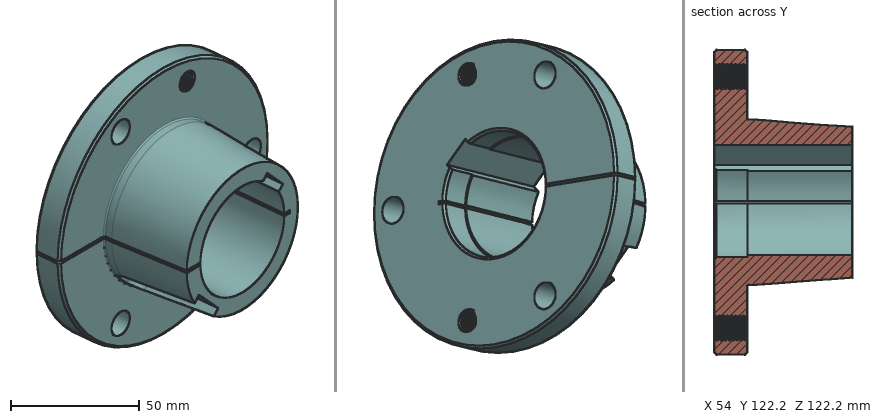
import cadquery as cq
import math

FLANGE_RADIUS = 61.1
FLANGE_THICKNESS = 13.0
FLANGE_CHAMFER = 1.0

LENGTH = 54.0
HUB_RADIUS = 35.0
HUB_END_RADIUS = 32.4
TAPER_START = 16.9
HUB_FILLET = 0.6

BORE_RADIUS = 24.5
COUNTERBORE_RADIUS = 25.0
COUNTERBORE_DEPTH = FLANGE_THICKNESS
BORE_CHAMFER = 1.0

KEYWAY_ANGLE = 45.0
KEYWAY_WIDTH = 12.8
KEYWAY_REACH = 27.0

SLIT_WIDTH = 1.1
RELIEF_REACH = 27.9

KEY_SEAT_ANGLE = 225.0
KEY_SEAT_WIDTH = 15.8
KEY_SEAT_FLOOR = 27.7
KEY_SEAT_START = 13.7
KEY_SEAT_CORNER_RADIUS = 5.4

BOLT_CIRCLE_RADIUS = 50.8
CLEARANCE_HOLE_DIAMETER = 10.6
CLEARANCE_HOLE_ANGLES = (0.0, 120.0, 240.0)
THREADED_HOLE_ANGLES = (75.0, -75.0)
THREAD_MINOR_RADIUS = 3.9
THREAD_MAJOR_RADIUS = 4.8
THREAD_PITCH = 1.6
THREAD_ROOT_WIDTH = 0.2
THREAD_HALF_ANGLE = 30.0
THREAD_RUNOUT_TURNS = 1
THREAD_OVERLAP = 0.1


def make_body():
    """Flange and tapered hub, revolved about the X axis."""
    profile = (
        cq.Workplane("XY")
        .moveTo(0, 0)
        .lineTo(0, FLANGE_RADIUS - FLANGE_CHAMFER)
        .lineTo(FLANGE_CHAMFER, FLANGE_RADIUS)
        .lineTo(FLANGE_THICKNESS - FLANGE_CHAMFER, FLANGE_RADIUS)
        .lineTo(FLANGE_THICKNESS, FLANGE_RADIUS - FLANGE_CHAMFER)
        .lineTo(FLANGE_THICKNESS, HUB_RADIUS + HUB_FILLET)
        .radiusArc((FLANGE_THICKNESS + HUB_FILLET, HUB_RADIUS), -HUB_FILLET)
        .lineTo(TAPER_START, HUB_RADIUS)
        .lineTo(LENGTH, HUB_END_RADIUS)
        .lineTo(LENGTH, 0)
        .close()
    )
    return profile.revolve(360, (0, 0, 0), (1, 0, 0))


def make_bore():
    """Stepped bore with a chamfered mouth in the flange face."""
    profile = (
        cq.Workplane("XY")
        .moveTo(0, 0)
        .lineTo(0, COUNTERBORE_RADIUS + BORE_CHAMFER)
        .lineTo(BORE_CHAMFER, COUNTERBORE_RADIUS)
        .lineTo(COUNTERBORE_DEPTH, COUNTERBORE_RADIUS)
        .lineTo(COUNTERBORE_DEPTH, BORE_RADIUS)
        .lineTo(LENGTH, BORE_RADIUS)
        .lineTo(LENGTH, 0)
        .close()
    )
    return profile.revolve(360, (0, 0, 0), (1, 0, 0))


def radial_box(width, inner, outer, start, angle):
    """Box from start to the hub end, reaching out along +Y and then turned about X."""
    box = cq.Workplane("XY").box(LENGTH - start, outer - inner, width, centered=(False, False, True))
    return box.translate((start, inner, 0)).rotate((0, 0, 0), (1, 0, 0), angle)


def make_key_seat():
    """Flat-floored seat with rounded corners at its closed end, open at the hub end."""
    seat = radial_box(KEY_SEAT_WIDTH, KEY_SEAT_FLOOR, FLANGE_RADIUS, KEY_SEAT_START, 0)
    seat = seat.edges("|Y and <X").fillet(KEY_SEAT_CORNER_RADIUS)
    return seat.rotate((0, 0, 0), (1, 0, 0), KEY_SEAT_ANGLE)


def bolt_circle_points(angles):
    """(Y, Z) places on the bolt circle."""
    return [
        (
            BOLT_CIRCLE_RADIUS * math.cos(math.radians(angle)),
            BOLT_CIRCLE_RADIUS * math.sin(math.radians(angle)),
        )
        for angle in angles
    ]


def make_holes(diameter, angles):
    """Plain through holes in the flange."""
    centers = bolt_circle_points(angles)
    return cq.Workplane("YZ").pushPoints(centers).circle(diameter / 2).extrude(FLANGE_THICKNESS)


def make_thread_groove():
    """Right-handed V groove along the X axis, running out past both flange faces."""
    turns = math.ceil(FLANGE_THICKNESS / THREAD_PITCH) + 2 * THREAD_RUNOUT_TURNS
    helix = cq.Wire.makeHelix(THREAD_PITCH, turns * THREAD_PITCH, THREAD_MINOR_RADIUS)
    inner_radius = THREAD_MINOR_RADIUS - THREAD_OVERLAP
    half_root = THREAD_ROOT_WIDTH / 2
    flank_spread = (THREAD_MAJOR_RADIUS - inner_radius) * math.tan(math.radians(THREAD_HALF_ANGLE))
    half_mouth = half_root + flank_spread
    groove = (
        cq.Workplane("XZ")
        .moveTo(inner_radius, -half_mouth)
        .lineTo(THREAD_MAJOR_RADIUS, -half_root)
        .lineTo(THREAD_MAJOR_RADIUS, half_root)
        .lineTo(inner_radius, half_mouth)
        .close()
        .sweep(cq.Workplane(helix), isFrenet=True)
    )
    return groove.rotate((0, 0, 0), (1, 1, 1), 120).translate((-THREAD_RUNOUT_TURNS * THREAD_PITCH, 0, 0))


bushing = (
    make_body()
    .cut(make_bore())
    .cut(radial_box(KEYWAY_WIDTH, 0, KEYWAY_REACH, 0, KEYWAY_ANGLE))
    .cut(radial_box(SLIT_WIDTH, 0, FLANGE_RADIUS, 0, 180))
    .cut(radial_box(SLIT_WIDTH, 0, RELIEF_REACH, 0, 0))
    .cut(make_key_seat())
    .cut(make_holes(CLEARANCE_HOLE_DIAMETER, CLEARANCE_HOLE_ANGLES))
    .cut(make_holes(2 * THREAD_MINOR_RADIUS, THREADED_HOLE_ANGLES))
)

thread_groove = make_thread_groove()
for y, z in bolt_circle_points(THREADED_HOLE_ANGLES):
    bushing = bushing.cut(thread_groove.translate((0, y, z)))

result = bushing.solids()